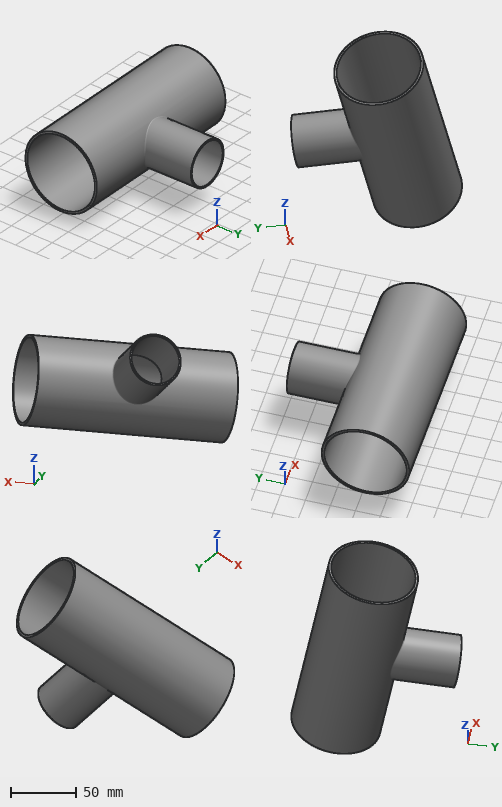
import cadquery as cq

pipe_length = 160.0
pipe_outer_diameter = 70.0
pipe_bore_diameter = 66.0

branch_reach = 80.0
branch_outer_diameter = 41.0
branch_bore_diameter = 38.0

junction_fillet = 1.0


def main_cylinder(diameter):
    """Cylinder along X over the full pipe length, centred on the origin."""
    return cq.Workplane("YZ").circle(diameter / 2).extrude(pipe_length / 2, both=True)


def branch_cylinder(diameter):
    """Cylinder along +Y from the main axis to the branch end."""
    return cq.Workplane("XZ").circle(diameter / 2).extrude(-branch_reach)


def outer_body():
    """Both outer cylinders joined, with the junction curve blended."""
    body = main_cylinder(pipe_outer_diameter).union(branch_cylinder(branch_outer_diameter))
    junction_box = cq.selectors.BoxSelector(
        (-branch_outer_diameter, 0, -branch_outer_diameter),
        (branch_outer_diameter, pipe_outer_diameter / 2, branch_outer_diameter),
    )
    return body.edges(junction_box).edges("not %LINE").fillet(junction_fillet)


result = (
    outer_body()
    .cut(main_cylinder(pipe_bore_diameter))
    .cut(branch_cylinder(branch_bore_diameter))
)